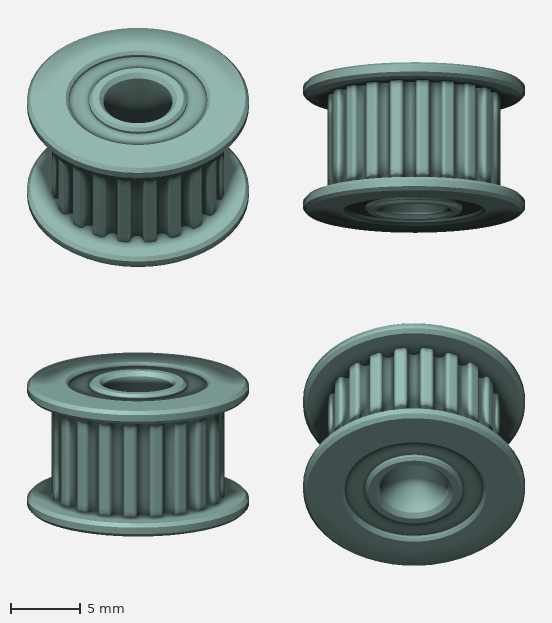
import cadquery as cq
import math

flange_diameter = 16.0
pulley_height = 9.4
flange_thickness = 1.0
flange_chamfer = 0.25

tooth_count = 20
drum_diameter = 12.46
groove_depth = 0.77
groove_width = 0.9
tooth_tip_radius = 0.25

recess_diameter = 10.0
recess_depth = 0.4
recess_chamfer = 0.2
ring_diameter = 7.0
ring_outer_chamfer = 0.2
bore_diameter = 5.0
bore_chamfer = 0.3

half_height = pulley_height / 2
drum_height = pulley_height - 2 * flange_thickness
drum_radius = drum_diameter / 2
tooth_pitch_angle = 360 / tooth_count


def cylinder(diameter, bottom, height):
    return cq.Workplane("XY").workplane(offset=bottom).circle(diameter / 2).extrude(height)


def make_drum():
    """Drum with tip-rounded teeth between round-bottomed grooves; one groove is centred on +X."""
    groove_radius = groove_width / 2
    groove_floor = drum_radius - groove_depth
    arc_center = groove_floor + groove_radius
    groove_mouth = drum_radius + groove_depth
    groove = (
        cq.Workplane("XY")
        .workplane(offset=-drum_height / 2)
        .moveTo(groove_mouth, -groove_radius)
        .lineTo(arc_center, -groove_radius)
        .threePointArc((groove_floor, 0), (arc_center, groove_radius))
        .lineTo(groove_mouth, groove_radius)
        .close()
        .extrude(drum_height)
    )
    drum = cylinder(drum_diameter, -drum_height / 2, drum_height)
    for index in range(tooth_count):
        drum = drum.cut(groove.rotate((0, 0, 0), (0, 0, 1), index * tooth_pitch_angle))

    corner_reach = math.sqrt(drum_radius**2 - groove_radius**2)
    corner_angle = math.degrees(math.atan2(groove_radius, corner_reach))
    corner_edges = []
    for index in range(tooth_count):
        for side in (-1, 1):
            angle = math.radians(index * tooth_pitch_angle + side * corner_angle)
            corner = (drum_radius * math.cos(angle), drum_radius * math.sin(angle), 0)
            corner_edges += drum.edges(cq.selectors.NearestToPointSelector(corner)).vals()
    return drum.newObject(corner_edges).fillet(tooth_tip_radius)


def make_flange(bottom):
    """Disc chamfered on both rims."""
    return cylinder(flange_diameter, bottom, flange_thickness).edges().chamfer(flange_chamfer)


def make_recess():
    """Ring-shaped cut for the top end face, profiled in the XZ plane and spun about Z."""
    recess_radius = recess_diameter / 2
    ring_radius = ring_diameter / 2
    recess_floor = half_height - recess_depth
    return (
        cq.Workplane("XZ")
        .moveTo(ring_radius, recess_floor)
        .lineTo(recess_radius, recess_floor)
        .lineTo(recess_radius, half_height - recess_chamfer)
        .lineTo(recess_radius + recess_chamfer, half_height)
        .lineTo(ring_radius - ring_outer_chamfer, half_height)
        .lineTo(ring_radius, half_height - ring_outer_chamfer)
        .close()
        .revolve(360, (0, 0, 0), (0, 1, 0))
    )


def make_bore():
    """Through bore with a countersink at both ends."""
    bore_radius = bore_diameter / 2
    return (
        cq.Workplane("XZ")
        .moveTo(0, -half_height)
        .lineTo(bore_radius + bore_chamfer, -half_height)
        .lineTo(bore_radius, bore_chamfer - half_height)
        .lineTo(bore_radius, half_height - bore_chamfer)
        .lineTo(bore_radius + bore_chamfer, half_height)
        .lineTo(0, half_height)
        .close()
        .revolve(360, (0, 0, 0), (0, 1, 0))
    )


top_recess = make_recess()
bottom_recess = top_recess.mirror("XY")

result = (
    make_drum()
    .union(make_flange(half_height - flange_thickness))
    .union(make_flange(-half_height))
    .cut(top_recess)
    .cut(bottom_recess)
    .cut(make_bore())
)